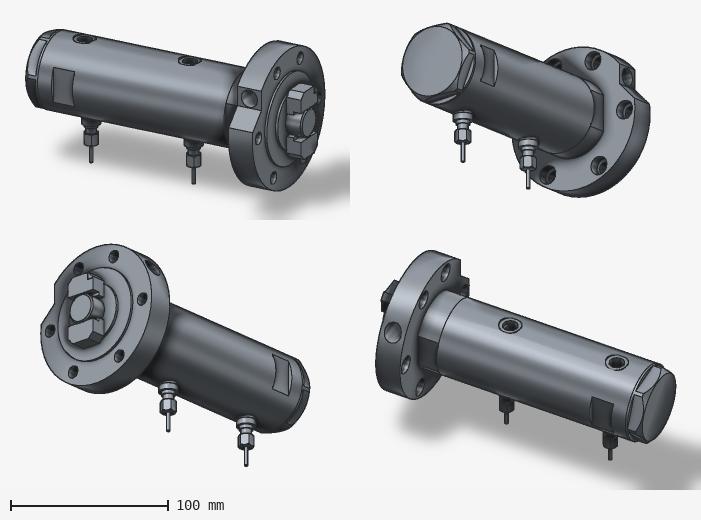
import cadquery as cq
import math


hex_end_x = 9.0
barrel_start_x = 10.5
cap_plug_end_x = 34.4
gland_start_x = 109.7
barrel_end_x = 146.0
flange_start_x = 161.2
flange_end_x = 178.7
pilot_end_x = 180.2
gland_end_x = 182.0
jaw_start_x = 183.1
rod_head_x = 188.0
rod_end_x = 193.6
jaw_pad_end_x = 194.2

barrel_radius = 26.0
bore_radius = 17.5
flat_half_width = 23.1
barrel_flat_start_x = 20.5
barrel_flat_end_x = 36.0

port_positions_x = [30.3, 106.8]
port_radius = 4.9
port_face_radius = 7.4
port_face_z = 25.0

cap_apothem = 23.1
cap_corner_angle = 52.5
cap_chamfer = 3.3

flange_radius = 47.0
flange_thickness = flange_end_x - flange_start_x
pilot_radius = 31.0
notch_y = -35.3
notch_corner_z = 17.7
notch_overcut = 2.0
cross_hole_radius = 5.8
cross_hole_z = 24.0
bolt_circle_radius = 39.0
bolt_angles = [0, 67.5, 112.5, 180, 240, 300]
bolt_hole_radius = 4.0
bolt_head_radius = 6.0
bolt_head_depth = 7.0

rod_radius = 10.0
rod_neck_half_height = 7.8
rod_chamfer = 1.0
gland_radius = 20.0
gland_shoulder_radius = 22.5
jaw_half_width = 10.5
jaw_outer_z = 23.0
jaw_chamfer = 3.9
jaw_pad_inner_y = 6.2
jaw_pad_inner_z = 17.9

fitting_positions_x = [35.0, 109.5]
shank_top_z = -24.5
shank_radius = 5.8
collar_top_z = -27.2
collar_radius = 6.2
shoulder_top_z = -31.3
shoulder_radius = 4.5
neck_top_z = -33.6
neck_radius = 3.5
nut_top_z = -37.5
nut_corner_radius = 5.2
nut_chamfer = 0.8
wire_top_z = -45.5
wire_radius = 1.2
wire_end_z = -58.3
wire_chamfer = 0.4


def rod_x(start_x, end_x, radius):
    """Cylinder on the main axis."""
    return cq.Workplane("YZ", origin=(start_x, 0, 0)).circle(radius).extrude(end_x - start_x)


def post_z(x, bottom_z, top_z, radius):
    """Vertical cylinder crossing the main axis at x."""
    return cq.Workplane("XY", origin=(x, 0, bottom_z)).circle(radius).extrude(top_z - bottom_z)


def block(x_range, y_range, z_range):
    """Box between pairs of limits."""
    limits = [x_range, y_range, z_range]
    sizes = [high - low for low, high in limits]
    corner = [low for low, high in limits]
    return cq.Workplane("XY").box(*sizes, centered=False).translate(tuple(corner))


def hexagon_prism(plane, origin, corner_radius, length):
    """Hexagonal prism with its corners on the plane's local X direction."""
    return cq.Workplane(plane, origin=origin).polygon(6, 2 * corner_radius).extrude(length)


def cut_wrench_flats(body, start_x, end_x):
    """Mill two parallel flats on the +Y and -Y sides."""
    span = (-barrel_radius, barrel_radius)
    far = 2 * barrel_radius
    body = body.cut(block((start_x, end_x), (flat_half_width, far), span))
    return body.cut(block((start_x, end_x), (-far, -flat_half_width), span))


def make_cap():
    """Hexagonal end cap with a round collar and a plug filling the barrel bore."""
    corner_radius = cap_apothem / math.cos(math.pi / 6)
    hexagon = hexagon_prism("YZ", (0, 0, 0), corner_radius, hex_end_x)
    hexagon = hexagon.rotate((0, 0, 0), (1, 0, 0), cap_corner_angle)
    rounded_blank = rod_x(0, hex_end_x, barrel_radius).faces("<X").chamfer(cap_chamfer)
    collar = rod_x(hex_end_x, barrel_start_x, barrel_radius)
    plug = rod_x(barrel_start_x, cap_plug_end_x, bore_radius)
    return hexagon.intersect(rounded_blank).union(collar).union(plug)


def make_barrel():
    """Bored tube with wrench flats, two spot-faced ports and two fitting sockets."""
    barrel = rod_x(barrel_start_x, barrel_end_x, barrel_radius)
    barrel = barrel.cut(rod_x(barrel_start_x, barrel_end_x, bore_radius))
    barrel = barrel.cut(rod_x(gland_start_x, barrel_end_x, gland_shoulder_radius))
    barrel = cut_wrench_flats(barrel, barrel_flat_start_x, barrel_flat_end_x)
    for x in port_positions_x:
        barrel = barrel.cut(post_z(x, 0, barrel_radius, port_radius))
        barrel = barrel.cut(post_z(x, port_face_z, barrel_radius, port_face_radius))
    for x in fitting_positions_x:
        barrel = barrel.cut(post_z(x, -barrel_radius, shank_top_z, shank_radius))
    return barrel


def cut_flange_notch(head):
    """Remove the corner on the -Y side: a vertical face, then a 45 degree slope."""
    outside = flange_radius + notch_overcut
    slope_drop = outside + notch_y
    notch = (
        cq.Workplane("YZ", origin=(flange_start_x, 0, 0))
        .moveTo(notch_y, outside)
        .lineTo(notch_y, notch_corner_z)
        .lineTo(-outside, notch_corner_z - slope_drop)
        .lineTo(-outside, outside)
        .close()
        .extrude(flange_thickness)
    )
    return head.cut(notch)


def cut_bolt_holes(head):
    """Counterbored bolt holes, open to the barrel side of the flange."""
    for angle in bolt_angles:
        y = bolt_circle_radius * math.cos(math.radians(angle))
        z = bolt_circle_radius * math.sin(math.radians(angle))
        hole = rod_x(flange_start_x, flange_end_x, bolt_hole_radius)
        seat = rod_x(flange_start_x, flange_start_x + bolt_head_depth, bolt_head_radius)
        head = head.cut(hole.union(seat).translate((0, y, z)))
    return head


def make_head():
    """Flanged head: neck with flats, flange and pilot rim, bored for the gland."""
    neck = cut_wrench_flats(
        rod_x(barrel_end_x, flange_start_x, barrel_radius), barrel_end_x, flange_start_x
    )
    head = rod_x(flange_start_x, flange_end_x, flange_radius)
    head = cut_flange_notch(head)
    head = cut_bolt_holes(head)
    cross_hole = (
        cq.Workplane("XZ", origin=(flange_start_x + flange_thickness / 2, 0, cross_hole_z))
        .circle(cross_hole_radius)
        .extrude(flange_radius, both=True)
    )
    head = head.cut(cross_hole)
    head = head.union(neck)
    head = head.union(rod_x(flange_end_x, pilot_end_x, pilot_radius))
    return head.cut(rod_x(barrel_end_x, pilot_end_x, gland_radius))


def make_gland():
    """Sleeve guiding the rod, with its wide end in the barrel and its outer end past the head."""
    gland = rod_x(gland_start_x, gland_end_x, gland_radius)
    gland = gland.union(rod_x(gland_start_x, barrel_end_x, gland_shoulder_radius))
    return gland.cut(rod_x(gland_start_x, gland_end_x, rod_radius))


def make_rod():
    """Rod whose outer end has two flats that leave a head for the jaws."""
    rod = rod_x(cap_plug_end_x, rod_end_x, rod_radius).faces(">X").chamfer(rod_chamfer)
    for z_range in [(rod_neck_half_height, rod_radius), (-rod_radius, -rod_neck_half_height)]:
        rod = rod.cut(block((gland_end_x, rod_head_x), (-rod_radius, rod_radius), z_range))
    return rod


def make_jaw():
    """Jaw above the rod, hooked behind the rod head, with chamfered outer corners."""
    width = (-jaw_half_width, jaw_half_width)
    jaw = block((jaw_start_x, rod_end_x), width, (rod_neck_half_height, jaw_outer_z))
    jaw = jaw.edges("|X and >Z").chamfer(jaw_chamfer)
    return jaw.cut(block((rod_head_x, rod_end_x), width, (rod_neck_half_height, rod_radius)))


def add_corner_pad(jaw):
    """Thin raised pad on the outer face, at the +Y corner of the jaw."""
    pad = block(
        (rod_end_x, jaw_pad_end_x), (jaw_pad_inner_y, jaw_half_width), (jaw_pad_inner_z, jaw_outer_z)
    )
    return jaw.union(pad.edges("|X and >Y and >Z").chamfer(jaw_chamfer))


def make_fitting(x):
    """Stepped sensor fitting with a hexagonal nut and a lead hanging below it."""
    fitting = post_z(x, collar_top_z, shank_top_z, shank_radius)
    fitting = fitting.union(post_z(x, shoulder_top_z, collar_top_z, collar_radius))
    fitting = fitting.union(post_z(x, neck_top_z, shoulder_top_z, shoulder_radius))
    fitting = fitting.union(post_z(x, nut_top_z, neck_top_z, neck_radius))
    nut = hexagon_prism("XY", (x, 0, wire_top_z), nut_corner_radius, nut_top_z - wire_top_z)
    nut_blank = post_z(x, wire_top_z, nut_top_z, nut_corner_radius).faces("<Z or >Z").chamfer(nut_chamfer)
    wire = post_z(x, wire_end_z, wire_top_z, wire_radius).faces("<Z").chamfer(wire_chamfer)
    return fitting.union(nut.intersect(nut_blank)).union(wire)


cap = make_cap()
barrel = make_barrel()
head = make_head()
gland = make_gland()
rod = make_rod()
jaws = [make_jaw().rotate((0, 0, 0), (1, 0, 0), angle) for angle in (0, 180)]
jaws[0] = add_corner_pad(jaws[0])
fittings = [make_fitting(x) for x in fitting_positions_x]

bodies = [cap, barrel, head, gland, rod, *jaws, *fittings]
result = cq.Compound.makeCompound([body.val() for body in bodies])